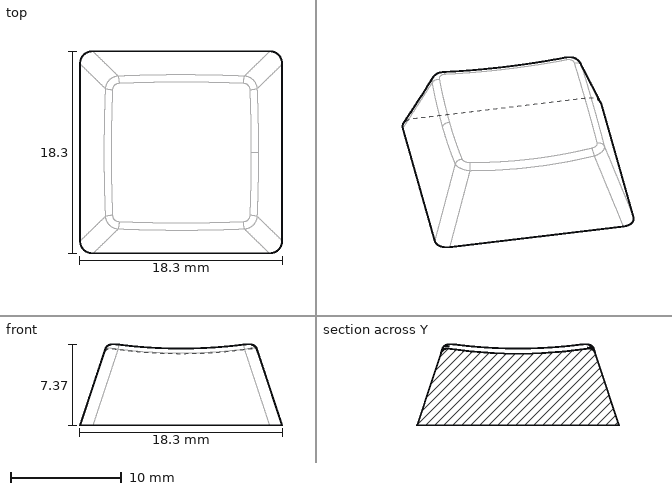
import cadquery as cq

base_width = 18.3
blank_height = 8.42
blank_top_x = 12.74
blank_top_y = 12.88
corner_radius = 1.2

dish_radius = 43.55
dish_bottom = 6.5
rim_radius = 0.6


def tapered_body():
    """Pyramid-like body with its four slanted edges rounded."""
    blank = (
        cq.Workplane("XY")
        .rect(base_width, base_width)
        .workplane(offset=blank_height)
        .rect(blank_top_x, blank_top_y)
        .loft(ruled=True)
    )
    slanted_edges = blank.edges("not(#Z)")
    return slanted_edges.fillet(corner_radius)


def dish():
    """Ball that hollows the top of the body."""
    return cq.Workplane("XY").sphere(dish_radius).translate((0, 0, dish_bottom + dish_radius))


dished_body = tapered_body().cut(dish())
rim_edges = dished_body.faces("%SPHERE").edges()
result = rim_edges.fillet(rim_radius)